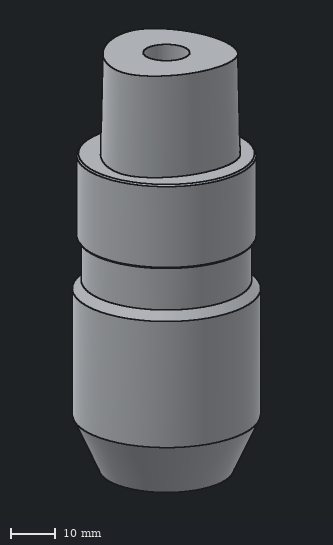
import cadquery as cq
import math

total_height = 99.0
cone_top = 13.0
body_top = 44.9
neck_top = 55.0
collar_top = 75.0

body_radius = 21.0
tip_radius = 15.0
neck_radius = 19.0
collar_radius = 20.0
bore_radius = 5.1
collar_chamfer = 0.4
shoulder_chamfer = body_radius - neck_radius

shank_base_radius = 15.5
shank_top_radius = 15.0
lobe_height = 0.9
lobe_count = 3
shank_points = 72


def trilobe(mean_radius):
    """Closed outline whose tangent distance is mean_radius - lobe_height * cos(3 * angle)."""
    points = []
    for i in range(shank_points):
        angle = 2 * math.pi * i / shank_points
        reach = mean_radius - lobe_height * math.cos(lobe_count * angle)
        slide = lobe_count * lobe_height * math.sin(lobe_count * angle)
        points.append((
            reach * math.cos(angle) - slide * math.sin(angle),
            reach * math.sin(angle) + slide * math.cos(angle),
        ))
    vectors = [cq.Vector(x, y, 0) for x, y in points]
    return cq.Wire.assembleEdges([cq.Edge.makeSpline(vectors, periodic=True)])


def turned_body():
    """Tapered tip, body, neck and chamfered collar, revolved about Z."""
    profile = [
        (0, 0),
        (tip_radius, 0),
        (body_radius, cone_top),
        (body_radius, body_top - shoulder_chamfer),
        (neck_radius, body_top),
        (neck_radius, neck_top),
        (collar_radius - collar_chamfer, neck_top),
        (collar_radius, neck_top + collar_chamfer),
        (collar_radius, collar_top - collar_chamfer),
        (collar_radius - collar_chamfer, collar_top),
        (0, collar_top),
    ]
    return cq.Workplane("XZ").polyline(profile).close().revolve(360, (0, 0), (0, 1))


def shank():
    """Lobed shank lofted from the collar to the top face."""
    base = trilobe(shank_base_radius).moved(cq.Location(cq.Vector(0, 0, collar_top)))
    top = trilobe(shank_top_radius).moved(cq.Location(cq.Vector(0, 0, total_height)))
    return cq.Workplane(cq.Solid.makeLoft([base, top], True))


bore = cq.Workplane("XY").circle(bore_radius).extrude(total_height)

result = turned_body().union(shank()).cut(bore)